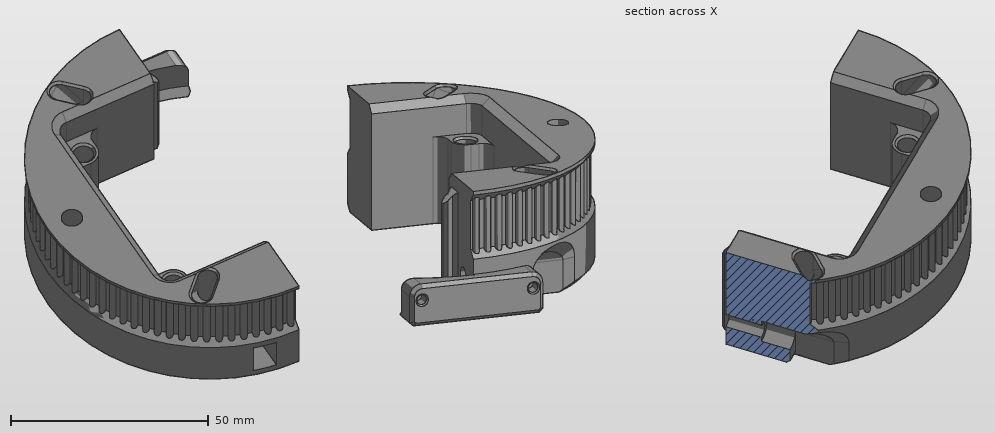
import cadquery as cq
import math

height = 33.0
outer_radius = 47.0
tooth_radius = 45.95
tooth_depth = 1.0
root_radius = tooth_radius - tooth_depth
base_height = 15.0
flange_thickness = 1.0
flange_bottom = height - flange_thickness
base_chamfer = 2.0
parting_face_y = -0.2

tooth_count = 90
tooth_pitch_angle = 360 / tooth_count
tooth_width = 1.9

opening_half_width = 28.8
opening_corner_radius = 3.1
opening_chamfer = 2.1

boss_offset = 23.6
boss_radius = 3.9
boss_height = 23.0
boss_blend_radius = 2.9
boss_hole_diameter = 5.2
boss_hole_chamfer = 0.6

centre_hole_diameter = 5.4
centre_hole_y = -39.9

duct_x = 33.1
duct_y = -19.0
duct_diameter = 5.0
duct_offset = 5.8
duct_chamfer = 0.6

arm_left = -50.9
arm_front = -17.8
arm_back = 18.0
arm_height = 11.0
arm_edge_chamfer = 1.0
arm_rounding = 3.0
arm_clearance = 0.3
arm_pin_y = 15.0
arm_pin_z = 6.9
arm_pin_diameter = 2.5
arm_pin_mouth_diameter = 3.3
arm_pin_depth = 3.9

screw_x = 39.3
screw_z = 8.5
screw_diameter = 4.2
head_diameter = 7.0
head_radius = head_diameter / 2
head_depth = 7.8
head_seat_y = arm_front + head_depth
access_chamfer = 2.1
access_wall_x = head_radius - screw_x
nut_y = -9.5
nut_slot_width = 6.0
nut_slot_height = 9.3
nut_slot_floor_x = screw_x - nut_slot_height / 2

rib_x = -33.0
rib_length = 3.3
rib_half_width = 1.6
rib_chamfer = 1.0
rib_foot = 1.2
rib_top = 29.4


def disc(radius, bottom, top):
    return cq.Workplane("XY").workplane(offset=bottom).circle(radius).extrude(top - bottom)


def countersink(radius, depth, top):
    """45 degree cone whose wide end, with the given radius, lies at the given height."""
    return cq.Workplane("XY").workplane(offset=top).circle(radius).extrude(-depth, taper=45)


def space_behind(y):
    size = 4 * outer_radius
    return cq.Workplane("XY").box(size, size, size).translate((0, y + size / 2, 0))


def polar(radius, angle):
    return radius * math.cos(math.radians(angle)), radius * math.sin(math.radians(angle))


def pulley_body():
    cone = outer_radius - root_radius
    profile = [
        (0, 0),
        (outer_radius - base_chamfer, 0),
        (outer_radius, base_chamfer),
        (outer_radius, base_height),
        (root_radius, base_height + cone),
        (root_radius, flange_bottom - cone),
        (outer_radius, flange_bottom),
        (outer_radius, height),
        (0, height),
    ]
    return cq.Workplane("XZ").polyline(profile).close().revolve(360, (0, 0), (0, 1))


def toothed_band():
    """Half round of rounded teeth standing on the pulley root."""
    half_angle = math.degrees(tooth_width / 2 / root_radius)
    band = cq.Workplane("XY").workplane(offset=base_height).moveTo(-root_radius, 0)
    for index in range(tooth_count // 2):
        middle = 180 + tooth_pitch_angle * (index + 0.5)
        band = band.lineTo(*polar(root_radius, middle - half_angle)).threePointArc(
            polar(tooth_radius, middle),
            polar(root_radius, middle + half_angle),
        )
    return band.lineTo(root_radius, 0).close().extrude(flange_bottom - base_height)


def rounded_square(half_width, corner_radius):
    return cq.Sketch().rect(2 * half_width, 2 * half_width).vertices().fillet(corner_radius)


def opening():
    """Square opening with rounded corners and a bevelled upper edge."""
    outline = rounded_square(opening_half_width, opening_corner_radius)
    well = cq.Workplane("XY").placeSketch(outline).extrude(height)
    mouth = rounded_square(
        opening_half_width + opening_chamfer,
        opening_corner_radius + opening_chamfer,
    )
    bevel = cq.Workplane("XY").workplane(offset=height).placeSketch(mouth).extrude(-opening_chamfer, taper=45)
    return well.union(bevel)


def right_corner_boss():
    """Boss in the right corner of the opening, blended into both walls."""
    overlap = 1.0
    wall = opening_half_width
    inner = boss_offset - boss_radius
    size = wall + overlap - inner
    boss = (
        cq.Workplane("XY")
        .rect(size, -size, centered=False)
        .extrude(boss_height)
        .edges("|Z and <X and >Y")
        .fillet(boss_radius)
        .translate((inner, -inner, 0))
    )
    for x, y in ((wall, -inner), (inner, -wall)):
        blend = (
            cq.Workplane("XY")
            .moveTo(x, y)
            .lineTo(x - boss_blend_radius, y)
            .radiusArc((x, y + boss_blend_radius), -boss_blend_radius)
            .close()
            .extrude(boss_height)
        )
        boss = boss.union(blend)
    return boss


def right_boss_hole():
    radius = boss_hole_diameter / 2
    bore = disc(radius, 0, boss_height)
    mouth = countersink(radius + boss_hole_chamfer, boss_hole_chamfer, boss_height)
    return bore.union(mouth).translate((boss_offset, -boss_offset, 0))


def right_duct():
    """Vertical bore joined at 45 degrees by a branch from a slot mouth nearer the rim."""
    radius = duct_diameter / 2
    bore = disc(radius, 0, height)
    branch_plane = cq.Plane(origin=(duct_offset, 0, height), xDir=(0, 1, 0), normal=(-1, 0, -1))
    branch = cq.Workplane(branch_plane).circle(radius).extrude(duct_offset * math.sqrt(2))
    rounded_end = cq.Workplane("XY").sphere(radius).translate((duct_offset, 0, height))
    slot_walls = (
        cq.Workplane("XZ")
        .polyline([(0, height), (duct_offset, height), (0, height - duct_offset)])
        .close()
        .extrude(radius, both=True)
    )
    mouth_width = duct_diameter + 2 * duct_chamfer
    mouth = (
        cq.Workplane("XY")
        .workplane(offset=height)
        .center(duct_offset / 2, 0)
        .slot2D(duct_offset + mouth_width, mouth_width)
        .extrude(-duct_chamfer, taper=45)
    )
    duct = bore.union(branch).union(rounded_end).union(slot_walls).union(mouth)
    return duct.rotate((0, 0, 0), (0, 0, 1), -45).translate((duct_x, duct_y, 0))


def arm():
    """Bar along the left side whose rear half hugs the neighbouring ring half."""
    bar = (
        cq.Workplane("YZ")
        .workplane(offset=arm_left)
        .center(arm_front, 0)
        .rect(arm_back - arm_front, arm_height, centered=False)
        .extrude(access_wall_x - arm_left)
        .edges("|X and >Z")
        .fillet(arm_rounding)
        .edges("|X and <Z")
        .chamfer(arm_edge_chamfer)
        .faces("<X")
        .chamfer(arm_edge_chamfer)
    )
    neighbour = disc(outer_radius + arm_clearance, 0, base_height).faces("<Z").chamfer(base_chamfer)
    return bar.cut(neighbour.intersect(space_behind(parting_face_y)))


def arm_pin_hole(y):
    """Blind hole with a countersunk mouth in the left face of the arm."""
    mouth_radius = arm_pin_mouth_diameter / 2
    mouth_depth = (arm_pin_mouth_diameter - arm_pin_diameter) / 2
    face = cq.Workplane("YZ").workplane(offset=arm_left).center(y, arm_pin_z)
    bore = face.circle(arm_pin_diameter / 2).extrude(arm_pin_depth)
    return bore.union(face.circle(mouth_radius).extrude(mouth_depth, taper=45))


def screw_access():
    """Round-topped channel with a flared mouth that opens the ring up to the seat of the screw head."""
    bottom = -base_height
    channel = (
        cq.Workplane("XZ")
        .moveTo(-head_radius - screw_x, bottom)
        .lineTo(access_wall_x, bottom)
        .lineTo(access_wall_x, screw_z)
        .threePointArc((-screw_x, screw_z + head_radius), (-head_radius - screw_x, screw_z))
        .close()
        .extrude(outer_radius)
    )
    blank = disc(outer_radius, bottom, height)
    opened = blank.cut(channel)

    def is_channel_rim(edge):
        middle = edge.positionAt(0.5)
        on_round_side = abs(math.hypot(middle.x, middle.y) - outer_radius) < 0.01
        beside_channel = middle.x < access_wall_x + 1 and middle.y < 0
        return on_round_side and beside_channel and bottom < middle.z < height

    rim = [edge for edge in opened.edges().vals() if is_channel_rim(edge)]
    flared = opened.newObject(rim).chamfer(access_chamfer)
    beside_head = (
        cq.Workplane("XY")
        .box(head_diameter, outer_radius, screw_z, centered=False)
        .translate((-screw_x - head_diameter, -outer_radius, 0))
    )
    return blank.cut(flared).union(beside_head).cut(space_behind(head_seat_y))


def screw_hole():
    """Clamp screw hole with a counterbore for the head."""
    shank = cq.Workplane("XZ").center(-screw_x, screw_z).circle(screw_diameter / 2).extrude(outer_radius)
    head = (
        cq.Workplane("XZ")
        .workplane(offset=-head_seat_y)
        .center(-screw_x, screw_z)
        .circle(head_radius)
        .extrude(outer_radius)
    )
    return shank.union(head)


def nut_pocket():
    return (
        cq.Workplane("YZ")
        .workplane(offset=nut_slot_floor_x)
        .center(nut_y, screw_z)
        .rect(nut_slot_width, nut_slot_height)
        .extrude(outer_radius - nut_slot_floor_x)
    )


def locating_rib():
    """Upright rib with a flared foot, a bevelled nose and a 45 degree top."""
    right_outline = [
        (rib_half_width + rib_chamfer, 0),
        (rib_half_width, rib_foot),
        (rib_half_width, rib_length - rib_chamfer),
        (rib_half_width - rib_chamfer, rib_length),
    ]
    left_outline = [(-x, y) for x, y in reversed(right_outline)]
    rib = cq.Workplane("XY").polyline(right_outline + left_outline).close().extrude(rib_top)
    above_slope = (
        cq.Workplane("YZ")
        .polyline([(0, rib_top), (rib_length, rib_top), (rib_length, rib_top - rib_length)])
        .close()
        .extrude(rib_half_width + rib_chamfer, both=True)
    )
    return rib.cut(above_slope).translate((rib_x, parting_face_y, 0))


body = pulley_body().union(toothed_band())
body = body.cut(space_behind(parting_face_y)).cut(opening()).cut(screw_access())

body = body.union(arm()).union(locating_rib())

boss = right_corner_boss()
side_holes = right_boss_hole().union(right_duct())
body = body.union(boss).union(boss.mirror("YZ"))
body = body.cut(side_holes).cut(side_holes.mirror("YZ"))

centre_hole = disc(centre_hole_diameter / 2, 0, height).translate((0, centre_hole_y, 0))
body = body.cut(screw_hole()).cut(nut_pocket()).cut(centre_hole)
for pin_y in (-arm_pin_y, arm_pin_y):
    body = body.cut(arm_pin_hole(pin_y))

result = body